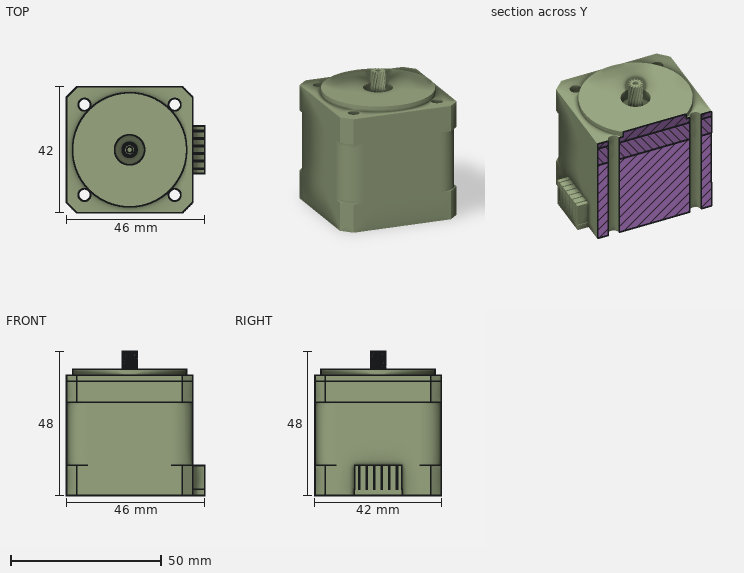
import cadquery as cq
import math

motor_width = 42.0
corner_chamfer = 3.5
corner_radius = 7.0

base_top = 10.0
housing_top = 31.0
cap_top = 38.0
plate_top = 40.0
pilot_top = 42.0
pinion_top = 48.0

pilot_diameter = 38.0
shaft_opening_diameter = 10.0

mounting_spacing = 30.0
mounting_hole_diameter = 4.0

connector_depth = 4.0
slit_floor = 2.0
slit_count = 6
slit_pitch = 2.5
slit_width = 0.4
end_margin = 0.5
connector_length = slit_count * slit_pitch + 2 * end_margin

tooth_count = 14
tip_radius = 2.5
root_radius = 1.75
pitch_radius = 2.1
helix_angle = 10.5
tooth_root_width = 0.4
tooth_tip_width = 0.25
pinion_bore_diameter = 2.0
pinion_bore_depth = 1.0


def square_block(bottom, top):
    return (
        cq.Workplane("XY")
        .workplane(offset=bottom)
        .rect(motor_width, motor_width)
        .extrude(top - bottom)
    )


def chamfered_block(bottom, top):
    return square_block(bottom, top).edges("|Z").chamfer(corner_chamfer)


def rounded_block(bottom, top):
    return square_block(bottom, top).edges("|Z").fillet(corner_radius)


def cylinder(diameter, bottom, top):
    return (
        cq.Workplane("XY")
        .workplane(offset=bottom)
        .circle(diameter / 2)
        .extrude(top - bottom)
    )


def mounting_holes():
    return (
        cq.Workplane("XY")
        .rect(mounting_spacing, mounting_spacing, forConstruction=True)
        .vertices()
        .circle(mounting_hole_diameter / 2)
        .extrude(pilot_top)
    )


def connector_block():
    """Block on the +X side split by evenly spaced slits, with a half slit at each end."""
    centre_x = (motor_width + connector_depth) / 2
    block = (
        cq.Workplane("XY")
        .center(centre_x, 0)
        .rect(connector_depth, connector_length)
        .extrude(base_top)
    )
    slit_places = [(index - (slit_count - 1) / 2) * slit_pitch for index in range(slit_count)]
    slit_places += [-connector_length / 2, connector_length / 2]
    slits = (
        cq.Workplane("XY")
        .workplane(offset=slit_floor)
        .pushPoints([(centre_x, y) for y in slit_places])
        .rect(connector_depth, slit_width)
        .extrude(base_top - slit_floor)
    )
    return block.cut(slits)


def make_housing():
    """Chamfered base, rounded middle section and the connector, in one piece."""
    base = chamfered_block(0, base_top)
    middle = rounded_block(base_top, housing_top)
    return base.union(middle).union(connector_block()).cut(mounting_holes()).clean()


def make_cap():
    return chamfered_block(housing_top, cap_top).cut(mounting_holes())


def make_front_plate():
    plate = chamfered_block(cap_top, plate_top)
    pilot = cylinder(pilot_diameter, plate_top, pilot_top)
    opening = cylinder(shaft_opening_diameter, cap_top, pilot_top)
    return plate.union(pilot).cut(opening).cut(mounting_holes())


def polar(radius, angle):
    return radius * math.cos(angle), radius * math.sin(angle)


def pinion_outline(top_turn):
    """Closed toothed outline, with its first tooth turned by top_turn radians from +X."""
    tooth_pitch = 2 * math.pi / tooth_count
    root_half_angle = tooth_root_width / 2 / root_radius
    tip_half_angle = tooth_tip_width / 2 / tip_radius
    outline = cq.Workplane("XY").workplane(offset=cap_top)
    outline = outline.moveTo(*polar(root_radius, top_turn - root_half_angle))
    for tooth in range(tooth_count):
        centre = top_turn + tooth * tooth_pitch
        outline = (
            outline
            .lineTo(*polar(tip_radius, centre - tip_half_angle))
            .threePointArc(polar(tip_radius, centre), polar(tip_radius, centre + tip_half_angle))
            .lineTo(*polar(root_radius, centre + root_half_angle))
            .threePointArc(
                polar(root_radius, centre + tooth_pitch / 2),
                polar(root_radius, centre + tooth_pitch - root_half_angle),
            )
        )
    return outline.close()


def make_pinion():
    """Right-hand helical pinion standing on the cap, with one tooth pointing along +X at its top."""
    length = pinion_top - cap_top
    twist = length * math.tan(math.radians(helix_angle)) / pitch_radius
    toothed = pinion_outline(-twist).twistExtrude(length, math.degrees(twist))
    bore = cylinder(pinion_bore_diameter, pinion_top - pinion_bore_depth, pinion_top)
    return toothed.cut(bore)


housing = make_housing()
cap = make_cap()
front_plate = make_front_plate()
pinion = make_pinion()

bodies = [housing, cap, front_plate, pinion]
result = cq.Compound.makeCompound([body.solids().val() for body in bodies])